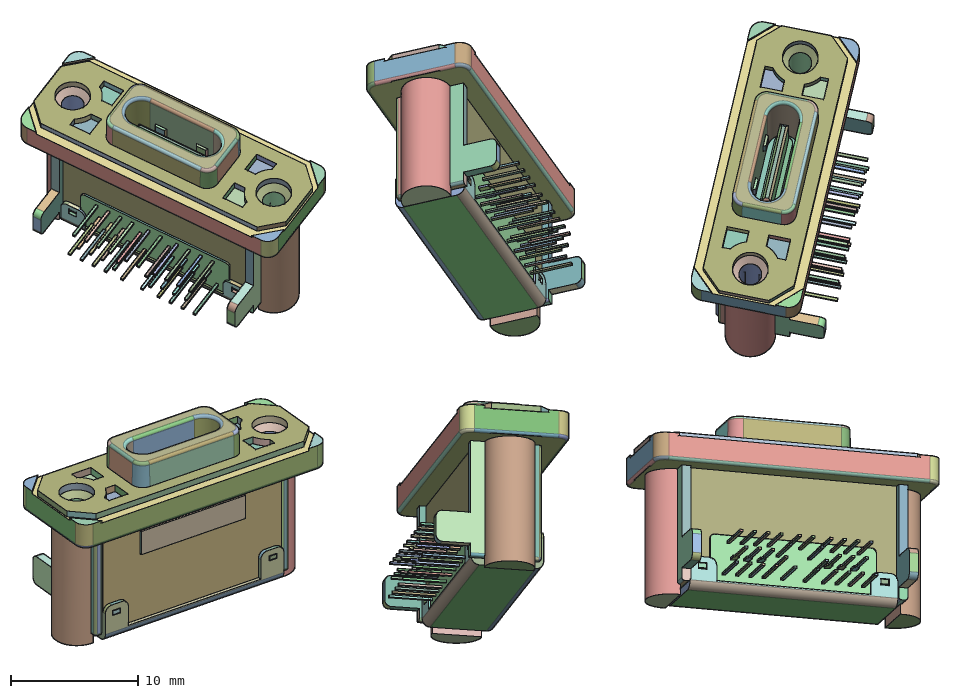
import cadquery as cq
import math

TOTAL_HEIGHT = 14.95
PLATE_TOP = 12.76
CORNER_TOP = 12.46
RIM_TOP = 12.25
FLANGE_BOTTOM = 10.26

FLANGE_X, FLANGE_Y = 23.5, 8.8
FLANGE_CORNER_R = 1.0
FLANGE_EDGE_R = 0.25
PLATE_X, PLATE_Y = 23.2, 7.3
PLATE_CHAMFER = 1.65
CORNER_PAD_SUM = 14.3

COLLAR_X, COLLAR_Y = 10.08, 5.14
COLLAR_DRAFT = 1.0
COLLAR_CORNER_R = 1.0
COLLAR_EDGE_R = 0.25
SLOT_X, SLOT_Y = 8.4, 2.56
SLOT_DEPTH = 6.2
SLOT_EDGE_R = 0.25
SLOT_FLOOR = TOTAL_HEIGHT - SLOT_DEPTH
TONGUE_ROOT_X, TONGUE_ROOT_Y = 7.0, 1.45
TONGUE_ROOT_HEIGHT = 1.3
TONGUE_ROOT_CORNER_R = 0.48
TONGUE_X, TONGUE_Y = 6.69, 0.7
TONGUE_TOP = TOTAL_HEIGHT - 2.0
TONGUE_CHAMFER = 0.2
SPRING_X = 1.9
SPRING_WIDTH, SPRING_TIP_WIDTH = 1.05, 0.85
SPRING_RISE = 0.22
SPRING_DROP = 2.6
SPRING_HEIGHT = 1.0

SCREW_X = 9.25
BOSS_R = 2.0
BOSS_FLAT_X = 9.05
SCREW_DIA = 1.78
SCREW_MOUTH_DIA = 2.8
SCREW_MOUTH_DEPTH = 0.6
SCREW_CONE_DEPTH = 0.5
SCREW_HOLE_DEPTH = 6.0

POCKET_INNER_X, POCKET_OUTER_X = 6.12, 7.93
POCKET_INNER_Y, POCKET_OUTER_Y = 0.8, 2.55
POCKET_LAND_R = 2.32
POCKET_DEPTH = 0.6

BODY_X, BODY_Y = 17.1, 5.2
BODY_BOTTOM = 0.6

COVER_Y = 5.84
COVER_BOTTOM = 0.34
COVER_R = 0.65
COVER_WALL_TOP = 1.12
TAB_WIDTH = 2.2
TAB_CORNER_R = 0.6
FRONT_TAB_TOP = 2.97
BACK_TAB_TOP = 3.48
WINDOW_WIDTH, WINDOW_HEIGHT = 0.7, 0.53
WINDOW_BOTTOM = 1.97
WINDOW_X = 7.5
LATCH_LIP = 0.15
LATCH_BUMP_BOTTOM, LATCH_BUMP_HEIGHT = 2.56, 0.4
LATCH_BUMP_Y = 3.0

PIN_PANEL_X = 13.66
PIN_PANEL_TOP = 4.97
PIN_PANEL_Y = 2.75
PIN_PANEL_R = 0.35
BACK_PANEL_X = 10.0
BACK_PANEL_Y = 2.78
BACK_PANEL_BOTTOM, BACK_PANEL_TOP = 7.0, 9.1

BRACKET_INNER_X, BRACKET_OUTER_X = 8.56, 9.3
BRACKET_FRONT_Y, BRACKET_BACK_Y = -3.15, 2.6
BRACKET_BOTTOM = 0.83
BRACKET_EDGE_R = 0.22
LEG_FRONT_Y = -5.93
LEG_BOTTOM, LEG_TOP = 1.83, 4.38
LEG_CORNER_R = 0.5

PIN_TIP_Y = FLANGE_Y / 2 - 10.65
PIN_ROOT_Y = -2.3
PIN_WIDTH, PIN_HEIGHT = 0.24, 0.17
SHOULDER_WIDTH = 0.47
SHOULDER_FRONT_Y = -3.6
PIN_PITCH = 1.1
PIN_SIDE_COUNT = 4
SHOULDERED_COUNT = 3
TOP_ROW_Z, UPPER_PAIR_Z, SHOULDERED_ROW_Z, LOWER_PAIR_Z, BOTTOM_ROW_Z = 4.38, 3.61, 3.05, 2.54, 1.76
TOP_INNER_X, TOP_SIDE_X = 0.56, 2.05
UPPER_PAIR_X, LOWER_PAIR_X = 1.31, 1.66
SHOULDERED_X = 2.75
BOTTOM_INNER_X, BOTTOM_SIDE_X = 0.92, 2.44


def box(x0, x1, y0, y1, z0, z1):
    """Box between two opposite corners."""
    return cq.Workplane("XY").box(x1 - x0, y1 - y0, z1 - z0, centered=False).translate((x0, y0, z0))


def centered_block(size_x, size_y, z0, z1):
    """Block centred on the Z axis between two heights."""
    return box(-size_x / 2, size_x / 2, -size_y / 2, size_y / 2, z0, z1)


def mirrored(shape):
    """The shape joined with its copy on the other side of the YZ plane."""
    return shape.union(shape.mirror("YZ"))


def make_flange():
    base = centered_block(FLANGE_X, FLANGE_Y, FLANGE_BOTTOM, CORNER_TOP)
    base = base.edges("|Z").fillet(FLANGE_CORNER_R).faces("<Z").edges().fillet(FLANGE_EDGE_R)
    recess_side = math.sqrt(2) * CORNER_PAD_SUM
    rim_recess = (
        cq.Workplane("XY", origin=(0, 0, RIM_TOP))
        .rect(recess_side, recess_side)
        .extrude(PLATE_TOP - RIM_TOP)
        .rotate((0, 0, 0), (0, 0, 1), 45)
    )
    plate = centered_block(PLATE_X, PLATE_Y, FLANGE_BOTTOM, PLATE_TOP)
    plate = plate.edges("|Z").chamfer(PLATE_CHAMFER)
    return base.cut(rim_recess).union(plate)


def make_collar():
    outline = cq.Sketch().rect(COLLAR_X, COLLAR_Y).vertices().fillet(COLLAR_CORNER_R)
    collar = (
        cq.Workplane("XY", origin=(0, 0, PLATE_TOP))
        .placeSketch(outline)
        .extrude(TOTAL_HEIGHT - PLATE_TOP, taper=COLLAR_DRAFT)
    )
    return collar.faces(">Z").edges().fillet(COLLAR_EDGE_R)


def cut_slot(part):
    slot = cq.Workplane("XY", origin=(0, 0, SLOT_FLOOR)).slot2D(SLOT_X, SLOT_Y).extrude(SLOT_DEPTH)
    part = part.cut(slot)
    rim = cq.Workplane(part.faces(">Z").val().innerWires()[0])
    return part.newObject(rim.edges().vals()).fillet(SLOT_EDGE_R)


def make_tongue():
    root = centered_block(TONGUE_ROOT_X, TONGUE_ROOT_Y, SLOT_FLOOR, SLOT_FLOOR + TONGUE_ROOT_HEIGHT)
    root = root.edges("|Z").fillet(TONGUE_ROOT_CORNER_R)
    blade = centered_block(TONGUE_X, TONGUE_Y, SLOT_FLOOR, TONGUE_TOP)
    return root.union(blade.faces(">Z").edges().chamfer(TONGUE_CHAMFER))


def make_springs():
    """Small trapezoidal contact springs on the back wall of the slot."""
    wall_y = SLOT_Y / 2
    spring = (
        cq.Workplane("XY", origin=(SPRING_X, 0, TOTAL_HEIGHT - SPRING_DROP - SPRING_HEIGHT))
        .moveTo(-SPRING_WIDTH / 2, wall_y)
        .lineTo(-SPRING_TIP_WIDTH / 2, wall_y - SPRING_RISE)
        .lineTo(SPRING_TIP_WIDTH / 2, wall_y - SPRING_RISE)
        .lineTo(SPRING_WIDTH / 2, wall_y)
        .close()
        .extrude(SPRING_HEIGHT)
    )
    return mirrored(spring)


def make_bosses():
    boss = cq.Workplane("XY").center(SCREW_X, 0).circle(BOSS_R).extrude(FLANGE_BOTTOM)
    inner_half = box(0, BOSS_FLAT_X, -BOSS_R, BOSS_R, 0, FLANGE_BOTTOM)
    return mirrored(boss.cut(inner_half))


def make_screw_holes():
    mouth_r, hole_r = SCREW_MOUTH_DIA / 2, SCREW_DIA / 2
    cone_top = PLATE_TOP - SCREW_MOUTH_DEPTH
    hole = (
        cq.Workplane("XZ")
        .moveTo(0, PLATE_TOP)
        .lineTo(mouth_r, PLATE_TOP)
        .lineTo(mouth_r, cone_top)
        .lineTo(hole_r, cone_top - SCREW_CONE_DEPTH)
        .lineTo(hole_r, PLATE_TOP - SCREW_HOLE_DEPTH)
        .lineTo(0, PLATE_TOP - SCREW_HOLE_DEPTH)
        .close()
        .revolve(360, (0, 0, 0), (0, 1, 0))
        .translate((SCREW_X, 0, 0))
    )
    return mirrored(hole)


def make_face_pockets():
    floor = PLATE_TOP - POCKET_DEPTH
    pocket = box(POCKET_INNER_X, POCKET_OUTER_X, POCKET_INNER_Y, POCKET_OUTER_Y, floor, PLATE_TOP)
    land = cq.Workplane("XY", origin=(SCREW_X, 0, floor)).circle(POCKET_LAND_R).extrude(POCKET_DEPTH)
    pocket = pocket.cut(land)
    return mirrored(pocket.union(pocket.mirror("XZ")))


def make_body():
    return centered_block(BODY_X, BODY_Y, BODY_BOTTOM, FLANGE_BOTTOM)


def make_cover_tab(y0, y1, top):
    outer_x = BODY_X / 2
    tab = box(outer_x - TAB_WIDTH, outer_x, y0, y1, COVER_BOTTOM + COVER_R, top)
    return tab.faces(">Z").edges("|Y").fillet(TAB_CORNER_R)


def make_cover():
    """Trough under the body with latching tabs on its front and back."""
    front_y, back_y = -COVER_Y / 2, COVER_Y / 2
    trough = centered_block(BODY_X, COVER_Y, COVER_BOTTOM, COVER_WALL_TOP)
    trough = trough.faces("<Z").edges("|X").fillet(COVER_R)

    front_tab = make_cover_tab(front_y, -BODY_Y / 2, FRONT_TAB_TOP)
    window_left = WINDOW_X - WINDOW_WIDTH / 2
    window_right = WINDOW_X + WINDOW_WIDTH / 2
    window_top = WINDOW_BOTTOM + WINDOW_HEIGHT
    window = box(window_left, window_right, front_y, -BODY_Y / 2, WINDOW_BOTTOM, window_top)
    latch_bottom = WINDOW_BOTTOM + LATCH_LIP
    latch_front_y = (front_y - BODY_Y / 2) / 2
    latch = box(window_left, window_right, latch_front_y, -BODY_Y / 2, latch_bottom, window_top)
    front_tab = front_tab.cut(window).union(latch)

    back_tab = make_cover_tab(BODY_Y / 2, back_y, BACK_TAB_TOP)
    bump_top = LATCH_BUMP_BOTTOM + LATCH_BUMP_HEIGHT
    bump = box(window_left, window_right, BODY_Y / 2, LATCH_BUMP_Y, LATCH_BUMP_BOTTOM, bump_top)
    return trough.union(mirrored(front_tab.union(back_tab).union(bump)))


def make_panels():
    half_x = PIN_PANEL_X / 2
    pin_panel = box(-half_x, half_x, -PIN_PANEL_Y, -BODY_Y / 2, COVER_WALL_TOP, PIN_PANEL_TOP)
    pin_panel = pin_panel.faces(">Z").edges("|Y").fillet(PIN_PANEL_R)
    half_x = BACK_PANEL_X / 2
    back_panel = box(-half_x, half_x, BODY_Y / 2, BACK_PANEL_Y, BACK_PANEL_BOTTOM, BACK_PANEL_TOP)
    return pin_panel.union(back_panel)


def make_brackets():
    wall = box(
        BRACKET_INNER_X, BRACKET_OUTER_X, BRACKET_FRONT_Y, BRACKET_BACK_Y, BRACKET_BOTTOM, FLANGE_BOTTOM
    )
    wall = wall.faces("<Z").edges("|Y").fillet(BRACKET_EDGE_R)
    wall = wall.edges("|Z and >X and >Y").fillet(BRACKET_EDGE_R)
    leg = box(BRACKET_INNER_X, BRACKET_OUTER_X, LEG_FRONT_Y, 0, LEG_BOTTOM, LEG_TOP)
    leg = leg.faces("<Y").edges("|X").fillet(LEG_CORNER_R)
    return mirrored(wall.union(leg))


def make_pin(x, z, width=PIN_WIDTH, front_y=PIN_TIP_Y):
    half_height = PIN_HEIGHT / 2
    return box(x - width / 2, x + width / 2, front_y, PIN_ROOT_Y, z - half_height, z + half_height)


def pitched(start_x, count):
    """Pin positions at the regular pitch, counted outwards."""
    return [start_x + PIN_PITCH * i for i in range(count)]


def add_pins(part):
    shouldered_xs = pitched(SHOULDERED_X, SHOULDERED_COUNT)
    rows = [
        (TOP_ROW_Z, [TOP_INNER_X] + pitched(TOP_SIDE_X, PIN_SIDE_COUNT)),
        (UPPER_PAIR_Z, [UPPER_PAIR_X]),
        (SHOULDERED_ROW_Z, shouldered_xs),
        (LOWER_PAIR_Z, [LOWER_PAIR_X]),
        (BOTTOM_ROW_Z, [BOTTOM_INNER_X] + pitched(BOTTOM_SIDE_X, PIN_SIDE_COUNT)),
    ]
    for z, xs in rows:
        for x in xs:
            part = part.union(mirrored(make_pin(x, z)))
    for x in shouldered_xs:
        shoulder = make_pin(x, SHOULDERED_ROW_Z, SHOULDER_WIDTH, SHOULDER_FRONT_Y)
        part = part.union(mirrored(shoulder))
    return part


result = make_flange().union(make_body()).union(make_collar())
result = cut_slot(result)
result = result.union(make_tongue()).union(make_springs())
result = result.union(make_bosses()).union(make_brackets())
result = result.union(make_cover()).union(make_panels())
result = result.cut(make_screw_holes()).cut(make_face_pockets())
result = add_pins(result)